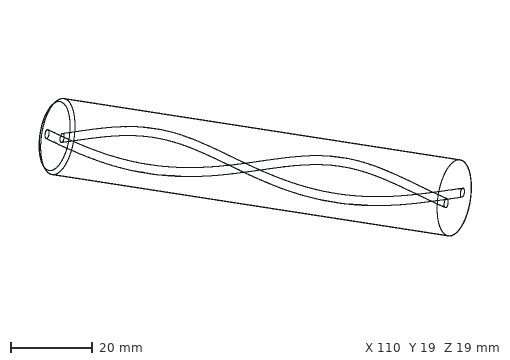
import cadquery as cq
import math

bar_length = 110.0
bar_diameter = 19.0
end_chamfer = 0.9

channel_count = 2
channel_diameter = 2.25
channel_circle_diameter = 9.0
channel_tilt = 22.5
helix_angle = 30.0
channel_lead = math.pi * bar_diameter / math.tan(math.radians(helix_angle))


def make_bar():
    """Bar from X = 0 to X = bar_length, chamfered at the X = 0 end."""
    bar = cq.Workplane("YZ").circle(bar_diameter / 2).extrude(bar_length)
    return bar.faces("<X").chamfer(end_chamfer)


def make_channel(start_angle):
    """Helical channel whose opening at X = 0 lies at start_angle degrees from +Y."""
    path_radius = channel_circle_diameter / 2
    helix = cq.Wire.makeHelix(channel_lead, bar_length, path_radius)
    channel = (
        cq.Workplane("XY")
        .center(path_radius, 0)
        .circle(channel_diameter / 2)
        .sweep(cq.Workplane(helix), isFrenet=True)
    )
    along_x = channel.rotate((0, 0, 0), (1, 1, 1), 120)
    return along_x.rotate((0, 0, 0), (1, 0, 0), start_angle)


def make_part():
    """Bar with its channels cut, evenly spaced round the axis."""
    bar = make_bar()
    for index in range(channel_count):
        bar = bar.cut(make_channel(index * 360 / channel_count - channel_tilt))
    return bar.solids()


result = make_part()